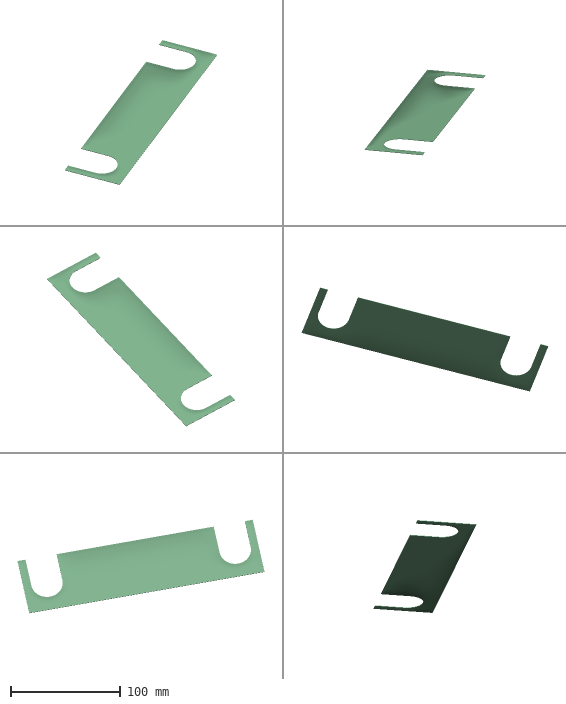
import cadquery as cq

length = 220.0
width = 55.0
thickness = 0.5

slot_width = 29.0
slot_end_center_x = 0.0
slot_end_offset = 22.0

slot_center_y = length / 2 - slot_end_offset


def slot_cutter(center_y):
    """Round-ended slot running in from the -X edge."""
    radius = slot_width / 2
    edge_x = -width / 2
    return (
        cq.Workplane("XY")
        .moveTo(edge_x, center_y - radius)
        .lineTo(slot_end_center_x, center_y - radius)
        .threePointArc(
            (slot_end_center_x + radius, center_y),
            (slot_end_center_x, center_y + radius),
        )
        .lineTo(edge_x, center_y + radius)
        .close()
        .extrude(thickness)
    )


result = cq.Workplane("XY").box(width, length, thickness, centered=(True, True, False))
for center_y in (-slot_center_y, slot_center_y):
    result = result.cut(slot_cutter(center_y))